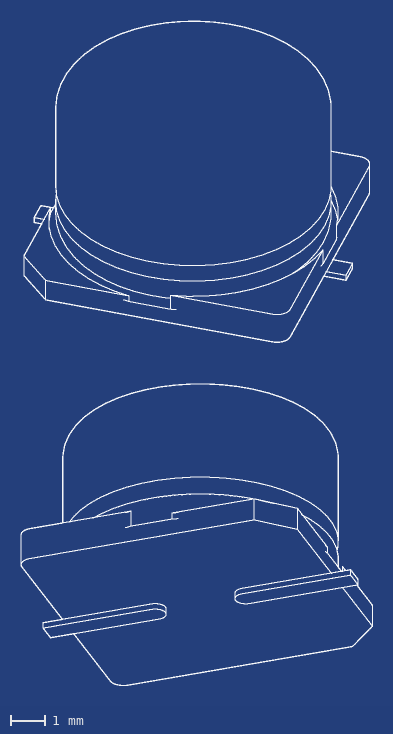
import cadquery as cq

lead_span = 9.5
lead_gap = 2.17
lead_width = 0.64
lead_thickness = 0.18

base_side = 8.3
base_low_top = 0.87
base_high_top = 1.17
base_chamfer = 0.98
base_corner_radius = 0.41
recess_radius = 4.2
recess_floor = 0.67

can_diameter = 8.0
can_top = 5.4
can_top_radius = 0.52
can_bottom_radius = 0.49
groove_bottom = 1.57
groove_top = 2.12
groove_depth = 0.25

can_radius = can_diameter / 2
base_half = base_side / 2


def make_base():
    """Stepped plate, taller on the +X half, with a round seat for the can."""
    base = (
        cq.Workplane("XY", origin=(0, 0, lead_thickness))
        .rect(base_side, base_side)
        .extrude(base_high_top - lead_thickness)
    )
    base = base.edges("|Z and <X").chamfer(base_chamfer)
    base = base.edges("|Z and >X").fillet(base_corner_radius)
    step = (
        cq.Workplane("XY", origin=(-base_half / 2, 0, base_low_top))
        .rect(base_half, base_side)
        .extrude(base_high_top - base_low_top)
    )
    seat = (
        cq.Workplane("XY", origin=(0, 0, recess_floor))
        .circle(recess_radius)
        .extrude(base_high_top - recess_floor)
    )
    return base.cut(step).cut(seat)


def make_can():
    """Revolved can with rounded rims and a rolled groove near the bottom."""
    groove_middle = (groove_bottom + groove_top) / 2
    can = (
        cq.Workplane("XZ")
        .moveTo(0, recess_floor)
        .lineTo(can_radius - can_bottom_radius, recess_floor)
        .radiusArc((can_radius, recess_floor + can_bottom_radius), -can_bottom_radius)
        .lineTo(can_radius, groove_bottom)
        .threePointArc((can_radius - groove_depth, groove_middle), (can_radius, groove_top))
        .lineTo(can_radius, can_top - can_top_radius)
        .radiusArc((can_radius - can_top_radius, can_top), -can_top_radius)
        .lineTo(0, can_top)
        .close()
    )
    return can.revolve(360, (0, 0, 0), (0, 1, 0))


def make_lead(side):
    """Flat lead under the base with a full-round inner end; side is -1 or 1."""
    outer = side * lead_span / 2
    inner = side * lead_gap / 2
    half_width = lead_width / 2
    round_start = inner + side * half_width
    return (
        cq.Workplane("XY")
        .moveTo(outer, -half_width)
        .lineTo(round_start, -half_width)
        .threePointArc((inner, 0), (round_start, half_width))
        .lineTo(outer, half_width)
        .close()
        .extrude(lead_thickness)
    )


result = make_base().union(make_can())
for lead_side in (-1, 1):
    result = result.union(make_lead(lead_side))